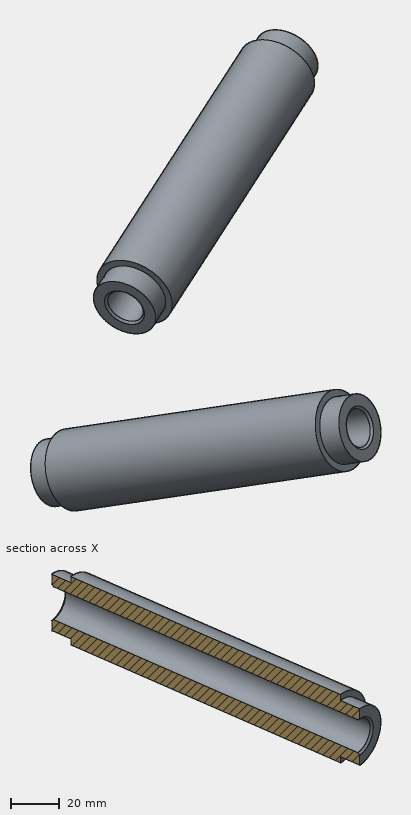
import cadquery as cq

total_length = 160.0
body_diameter = 34.0
journal_diameter = 28.0
journal_length = 10.0
bore_diameter = 16.0
bore_chamfer = 1.0

body_length = total_length - 2 * journal_length


def cylinder_along_y(diameter, length):
    """Cylinder on the Y axis, centred on the origin."""
    start_plane = cq.Workplane("XZ", origin=(0, length / 2, 0))
    return start_plane.circle(diameter / 2).extrude(length)


body = cylinder_along_y(body_diameter, body_length)
journals = cylinder_along_y(journal_diameter, total_length)
roller = body.union(journals)

bore = cylinder_along_y(bore_diameter, total_length)
result = roller.cut(bore)
mouth_edges = cq.selectors.RadiusNthSelector(0)
result = result.faces("<Y or >Y").edges(mouth_edges).chamfer(bore_chamfer)